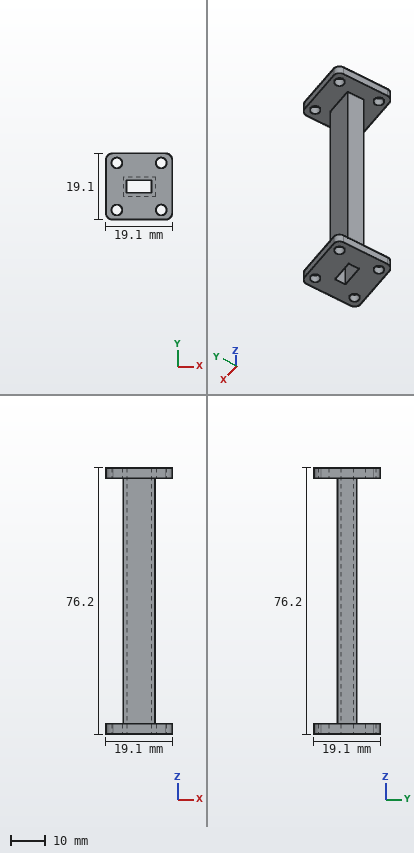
import cadquery as cq

flange_side = 19.05
total_length = 76.2

flange_thickness = 3.0
corner_radius = 2.0
bolt_diameter = 3.0
bolt_spacing_x = 12.7
bolt_spacing_y = 13.46

bore_x = 7.112
bore_y = 3.556
wall = 1.016
tube_x = bore_x + 2 * wall
tube_y = bore_y + 2 * wall


def make_flange(bottom_z):
    """Square flange with rounded corners and four bolt holes."""
    return (
        cq.Workplane("XY", origin=(0, 0, bottom_z))
        .rect(flange_side, flange_side)
        .extrude(flange_thickness)
        .edges("|Z")
        .fillet(corner_radius)
        .faces(">Z")
        .workplane(origin=(0, 0, 0))
        .rect(bolt_spacing_x, bolt_spacing_y, forConstruction=True)
        .vertices()
        .hole(bolt_diameter)
    )


def make_bar(size_x, size_y):
    """Rectangular bar running the full length of the part."""
    return cq.Workplane("XY").rect(size_x, size_y).extrude(total_length)


result = make_bar(tube_x, tube_y)
for flange_bottom in (0, total_length - flange_thickness):
    result = result.union(make_flange(flange_bottom))
result = result.cut(make_bar(bore_x, bore_y))